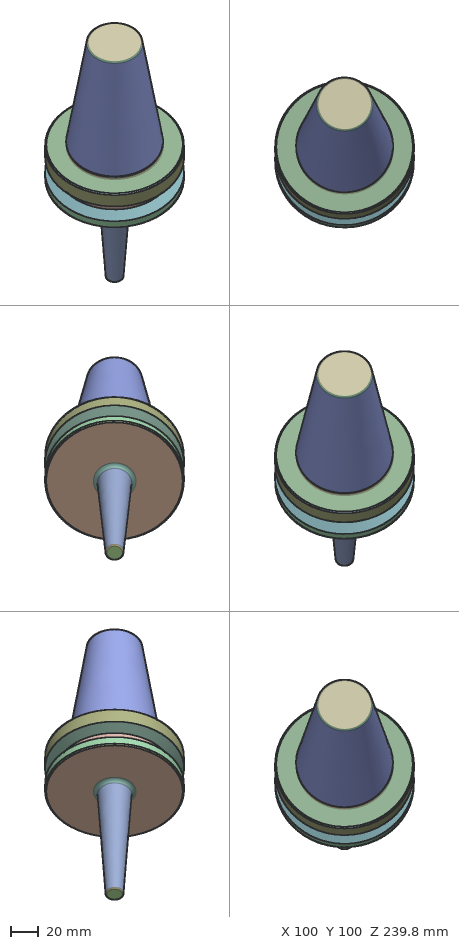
import cadquery as cq
import math


gauge_diameter = 69.85
taper_length = 101.8
taper_ratio = 7 / 24
taper_top_fillet = 1.0

flange_diameter = 100.0
flange_top_z = -3.0
flange_bottom_z = -38.0
flange_chamfer = 1.0
groove_center_z = -23.2
groove_floor_diameter = 85.0
groove_floor_width = 6.4
groove_flank_angle = 30.0

neck_diameter = 69.0
neck_cone_height = 1.2
neck_root_fillet = 0.5

nose_length = 100.0
nose_tip_diameter = 13.0
nose_root_diameter = 25.0
nose_tip_fillet = 1.0
nose_root_fillet = 3.0


def revolve_profile(points):
    """Revolve a closed (radius, z) outline a full turn about Z."""
    return cq.Workplane("XZ").polyline(points).close().revolve(360, (0, 0), (0, 1))


def make_shank():
    """Taper shank with its rounded small end and the relief neck below it."""
    gauge_radius = gauge_diameter / 2
    neck_radius = neck_diameter / 2
    small_radius = gauge_radius - taper_length * taper_ratio / 2
    shank = revolve_profile([
        (0, flange_top_z),
        (neck_radius, flange_top_z),
        (neck_radius, -neck_cone_height),
        (gauge_radius, 0),
        (small_radius, taper_length),
        (0, taper_length),
    ])
    return shank.faces(">Z").edges().fillet(taper_top_fillet)


def make_flange():
    """Flange disc, chamfered at both ends, with the V groove around it."""
    rim = flange_diameter / 2
    floor = groove_floor_diameter / 2
    floor_half = groove_floor_width / 2
    mouth_half = floor_half + (rim - floor) * math.tan(math.radians(groove_flank_angle))
    flange = revolve_profile([
        (0, flange_top_z),
        (rim, flange_top_z),
        (rim, groove_center_z + mouth_half),
        (floor, groove_center_z + floor_half),
        (floor, groove_center_z - floor_half),
        (rim, groove_center_z - mouth_half),
        (rim, flange_bottom_z),
        (0, flange_bottom_z),
    ])
    return flange.faces("<Z or >Z").edges().chamfer(flange_chamfer)


def make_nose():
    """Slim cone below the flange with a rounded tip."""
    tip_z = flange_bottom_z - nose_length
    nose = revolve_profile([
        (0, flange_bottom_z),
        (nose_root_diameter / 2, flange_bottom_z),
        (nose_tip_diameter / 2, tip_z),
        (0, tip_z),
    ])
    return nose.faces("<Z").edges().fillet(nose_tip_fillet)


def fillet_root(body, root_diameter, root_z, radius):
    """Fillet the circular corner of the given diameter at height root_z."""
    margin = 0.1
    reach = root_diameter / 2 + margin
    corner = cq.selectors.BoxSelector(
        (-reach, -reach, root_z - margin),
        (reach, reach, root_z + margin),
        boundingbox=True,
    )
    return body.edges(corner).fillet(radius)


body = make_shank().union(make_flange()).union(make_nose())
body = fillet_root(body, neck_diameter, flange_top_z, neck_root_fillet)
result = fillet_root(body, nose_root_diameter, flange_bottom_z, nose_root_fillet)